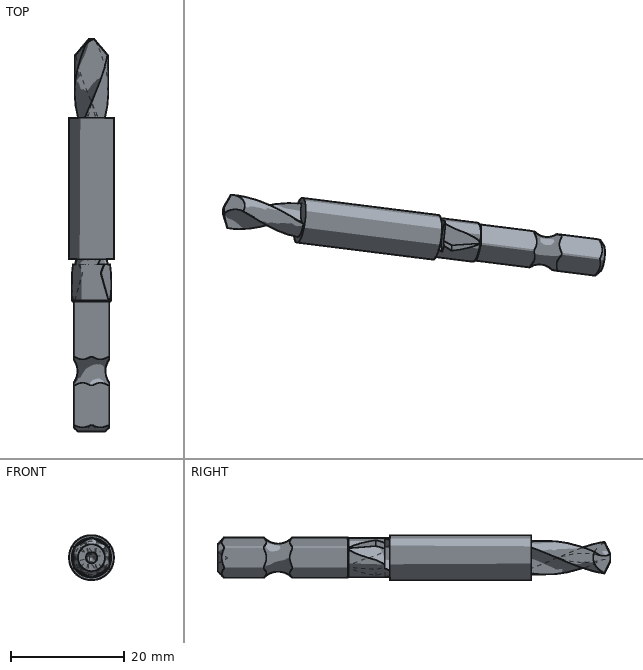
import cadquery as cq
import math


total_length = 69.5
sleeve_top_y = 55.5
sleeve_bottom_y = 30.5
flute_end_y = 29.6
collar_bottom_y = 23.0

hex_across_flats = 6.35
hex_corner_radius = 0.45
end_chamfer_rim_diameter = 7.3
end_face_diameter = 4.75
end_chamfer_length = 1.2

groove_y = 10.7
groove_neck_diameter = 5.0
groove_arc_radius = 3.5

centre_diameter = 2.0
centre_cone_angle = 60.0

sleeve_diameter = 8.0
collar_diameter = 7.0
collar_chamfer = 0.2
drill_diameter = 6.0

flute_pitch = 43.6
turn_per_length = 360 / flute_pitch
core_radius = 0.8
land_half_angle = 38.0
land_level_y = 64.6

point_flat_width = 0.84
point_drop = 3.05
point_cone_drop = 1.05
point_tip_diameter = 1.3

runout_start_y = 28.0
runout_tip_z = -1.65
runout_valley = (-1.7, -2.05)
runout_upper_z = 0.4
runout_lower_z = -3.1
runout_reach = 3.0


def cross_plane(y):
    """Plane across the axis at height y, facing +Y."""
    return cq.Plane(origin=(0, y, 0), xDir=(1, 0, 0), normal=(0, 1, 0))


def cylinder(diameter, y_start, y_end):
    return cq.Workplane(cross_plane(y_start)).circle(diameter / 2).extrude(y_end - y_start)


def polar(radius, angle):
    return (radius * math.cos(math.radians(angle)), radius * math.sin(math.radians(angle)))


def fluted_rod(diameter, y_start, y_end):
    """Twisted rod with two round lands and two hollow flutes."""
    radius = diameter / 2
    length = y_end - y_start
    first_land = (y_start - land_level_y) * turn_per_length
    section = cq.Workplane(cross_plane(y_start)).moveTo(*polar(radius, first_land - land_half_angle))
    for land in (first_land, first_land + 180):
        edge = land + land_half_angle
        next_edge = land + 180 - land_half_angle
        section = section.threePointArc(polar(radius, land), polar(radius, edge))
        section = section.threePointArc(polar(core_radius, land + 90), polar(radius, next_edge))
    return section.close().twistExtrude(length, length * turn_per_length)


def sloped_half(flat_half_width, drop):
    """Half outline in XY, level at the tip and falling by `drop` at the drill radius."""
    radius = drill_diameter / 2
    outer_x = 1.5 * radius
    outer_y = total_length - drop * (outer_x - flat_half_width) / (radius - flat_half_width)
    return [(0, total_length), (flat_half_width, total_length), (outer_x, outer_y), (outer_x, 0), (0, 0)]


def drill_point():
    """Roof with its ridge along Z, its corners turned down to a blunt cone."""
    roof_half = (
        cq.Workplane("XY")
        .polyline(sloped_half(point_flat_width / 2, point_drop))
        .close()
        .extrude(drill_diameter, both=True)
    )
    cone = (
        cq.Workplane("XY")
        .polyline(sloped_half(point_tip_diameter / 2, point_cone_drop))
        .close()
        .revolve(360, (0, 0), (0, 1))
    )
    return roof_half.union(roof_half.mirror("YZ")).intersect(cone)


def shank():
    """Hexagon with rounded corners, a chamfered end, a groove and a drilled centre."""
    hexagon = (
        cq.Workplane(cross_plane(0))
        .polygon(6, hex_across_flats, circumscribed=True)
        .extrude(collar_bottom_y)
        .edges("|Y")
        .fillet(hex_corner_radius)
    )
    turned_radius = end_chamfer_rim_diameter / 2
    turned = (
        cq.Workplane("XY")
        .lineTo(end_face_diameter / 2, 0)
        .lineTo(turned_radius, end_chamfer_length)
        .lineTo(turned_radius, collar_bottom_y)
        .lineTo(0, collar_bottom_y)
        .close()
        .revolve(360, (0, 0), (0, 1))
    )
    groove_centre_x = groove_neck_diameter / 2 + groove_arc_radius
    groove = (
        cq.Workplane("XY")
        .moveTo(groove_centre_x, groove_y)
        .circle(groove_arc_radius)
        .revolve(360, (0, 0), (0, 1))
    )
    centre_depth = centre_diameter / 2 / math.tan(math.radians(centre_cone_angle / 2))
    centre = (
        cq.Workplane("XY")
        .lineTo(centre_diameter / 2, 0)
        .lineTo(0, centre_depth)
        .close()
        .revolve(360, (0, 0), (0, 1))
    )
    return hexagon.intersect(turned).cut(groove).cut(centre)


def collar_edge_x(z):
    """X of the -X side of the collar surface at height z."""
    return -math.sqrt((collar_diameter / 2) ** 2 - z**2)


def runout_section():
    """X and Z of the V section: the valley and one point on each wall outside the collar."""
    valley_x, valley_z = runout_valley
    corners = [runout_valley]
    for edge_z in (runout_upper_z, runout_lower_z):
        edge_x = collar_edge_x(edge_z)
        outer_x = valley_x + runout_reach * (edge_x - valley_x)
        outer_z = valley_z + runout_reach * (edge_z - valley_z)
        corners.append((outer_x, outer_z))
    return corners


def runout_groove():
    """V groove that follows the helix from the run-out start to the flute end."""
    length = flute_end_y - runout_start_y
    return (
        cq.Workplane(cross_plane(runout_start_y))
        .polyline([(x, -z) for x, z in runout_section()])
        .close()
        .twistExtrude(length, length * turn_per_length)
    )


def runout_taper():
    """Pyramid that narrows the V groove to a point on the collar surface."""
    tip = cq.Vector(collar_edge_x(runout_tip_z), collar_bottom_y, runout_tip_z)
    base = [cq.Vector(x, runout_start_y, z) for x, z in runout_section()]
    outlines = [base]
    for i in range(len(base)):
        outlines.append([base[i - 1], base[i], tip])
    faces = [cq.Face.makeFromWires(cq.Wire.makePolygon(outline, close=True)) for outline in outlines]
    return cq.Workplane(cq.Solid.makeSolid(cq.Shell.makeShell(faces)))


def collar():
    plain = cylinder(collar_diameter, collar_bottom_y, runout_start_y).faces("<Y").chamfer(collar_chamfer)
    grooved = cylinder(collar_diameter, runout_start_y, flute_end_y)
    for turn in (0, 180):
        plain = plain.cut(runout_taper().rotate((0, 0, 0), (0, 1, 0), turn))
        grooved = grooved.cut(runout_groove().rotate((0, 0, 0), (0, 1, 0), turn))
    fluted = fluted_rod(collar_diameter, flute_end_y, sleeve_bottom_y)
    return plain.union(grooved).union(fluted)


drill = fluted_rod(drill_diameter, sleeve_top_y, total_length).intersect(drill_point())
sleeve = cylinder(sleeve_diameter, sleeve_bottom_y, sleeve_top_y)

result = shank().union(collar()).union(sleeve).union(drill)